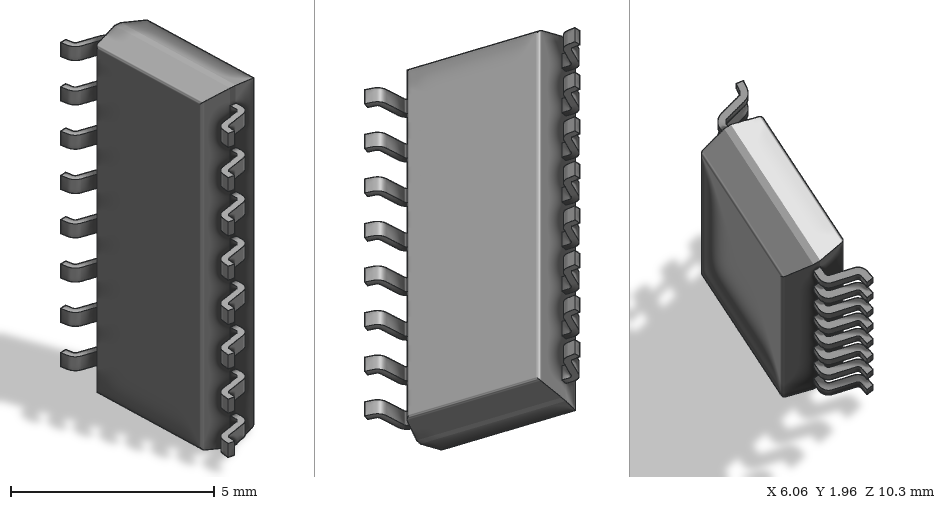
import cadquery as cq
import math

body_width = 4.14
body_length = 10.3
taper_height = 0.8
draft_angle = 12.0
face_fillet = 0.1

lead_count = 8
lead_row_length = 8.89
lead_pitch = lead_row_length / (lead_count - 1)
lead_width = 0.4
lead_thickness = 0.2
lead_span = 6.06
shoulder_slope = 76.0
foot_slope = 8.0
upper_bend_radius = 0.21
lower_bend_radius = 0.21
shank_length = 0.63
foot_length = 0.22

band_thickness = lead_thickness


def tapered_half(direction):
    """Half of the body, from mid-band out to the face on the +Y (1) or -Y (-1) side."""
    plane = cq.Plane(origin=(0, 0, 0), xDir=(1, 0, 0), normal=(0, direction, 0))
    band = cq.Workplane(plane).rect(body_width, body_length).extrude(band_thickness / 2)
    taper = (
        cq.Workplane(plane)
        .workplane(offset=band_thickness / 2)
        .rect(body_width, body_length)
        .extrude(taper_height, taper=draft_angle)
    )
    face = ">Y" if direction > 0 else "<Y"
    return band.union(taper.faces(face).edges().fillet(face_fillet))


def step(point, length, slope):
    """Point reached by going straight outward and down at the given slope."""
    angle = math.radians(slope)
    return (point[0] + length * math.cos(angle), point[1] - length * math.sin(angle))


def bend(point, radius, start_slope, end_slope):
    """Point reached by following an arc from one downward slope to another."""
    turn = abs(end_slope - start_slope)
    chord = 2 * radius * math.sin(math.radians(turn / 2))
    return step(point, chord, (start_slope + end_slope) / 2)


def right_lead():
    """One lead on the +X side, centred on Z = 0 and rooted inside the body."""
    shank_top = bend((0, 0), upper_bend_radius, 0, shoulder_slope)
    shank_end = step(shank_top, shank_length, shoulder_slope)
    foot_start = bend(shank_end, lower_bend_radius, shoulder_slope, foot_slope)
    foot_end = step(foot_start, foot_length, foot_slope)

    toe_overhang = lead_thickness / 2 * math.sin(math.radians(foot_slope))
    bend_start_x = lead_span / 2 - toe_overhang - foot_end[0]
    root_x = body_width / 4

    path = (
        cq.Workplane("XY", origin=(bend_start_x, 0, 0))
        .moveTo(root_x - bend_start_x, 0)
        .lineTo(0, 0)
        .tangentArcPoint(shank_top, relative=False)
        .lineTo(*shank_end)
        .tangentArcPoint(foot_start, relative=False)
        .lineTo(*foot_end)
    )
    section = cq.Workplane("YZ", origin=(root_x, 0, 0)).rect(lead_thickness, lead_width)
    return section.sweep(path)


result = tapered_half(1).union(tapered_half(-1))

lead = right_lead()
lead_pair = lead.union(lead.mirror("YZ"))
for index in range(lead_count):
    lead_z = index * lead_pitch - lead_row_length / 2
    result = result.union(lead_pair.translate((0, 0, lead_z)))